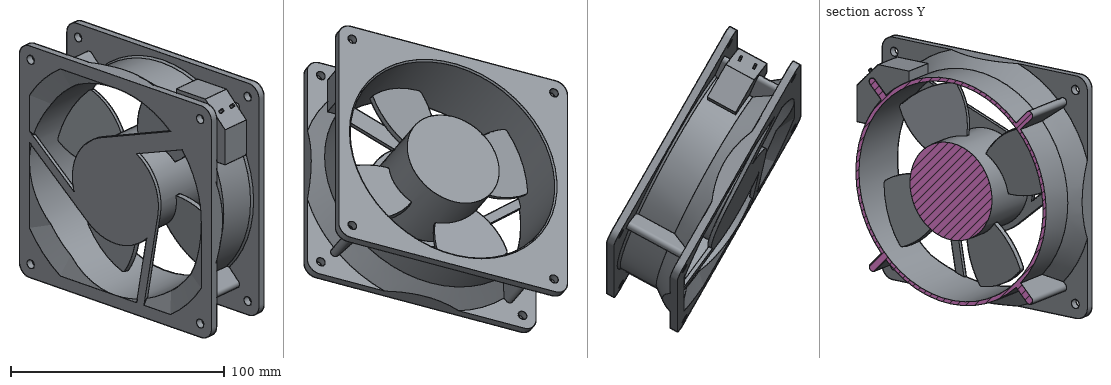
import cadquery as cq
import math

side = 119.0
depth = 38.0
flange_thickness = 3.8
corner_radius = 6.3
screw_hole_diameter = 4.4
screw_hole_offset = 52.5

bore_radius = 53.2
duct_wall = 2.1
duct_radius = bore_radius + duct_wall
intake_flare_depth = 13.7
exhaust_flare_depth = 1.2
flare_slope = 0.73
exhaust_start = depth - flange_thickness
exit_chamfer = 0.8
mouth_depth = 4.2
mouth_radius = 63.2
mouth_taper = math.degrees(math.atan((mouth_radius - bore_radius) / mouth_depth))

post_radius = 2.0
post_offset = 45.5

spider_radius = 26.7
spider_thickness = 1.9
first_spoke_angle = 20.0
wide_spoke = 9.3
narrow_spoke = 4.5
spoke_reach = 52.4

hub_radius = 23.9
blade_count = 4
first_blade_angle = 62.4
blade_pitch = 12.0
blade_thickness = 2.4
blade_face = 18.1
blade_tip_radius = 49.3
blade_root = 21.4
blade_root_half_width = 11.0
blade_middle = 35.7
blade_middle_half_width = 16.2
blade_shoulder = 46.5
blade_tip_half_width = 16.2
blade_corner_radius = 1.8

box_inner = 24.4
box_outer = 54.6
box_chamfer = 12.3
box_front = 15.5
box_back = 30.7
pin_positions = (19.0, 26.8)
pin_width = 1.4
pin_thickness = 1.0
pin_length = 2.1


def plane_at(y):
    """Plane across the fan axis; extruding from it goes toward +Y, and its y axis is -Z."""
    return cq.Workplane(cq.Plane(origin=(0, y, 0), xDir=(1, 0, 0), normal=(0, 1, 0)))


def cylinder(radius, start, end):
    return plane_at(start).circle(radius).extrude(end - start)


def cone(start_radius, start, end_radius, end):
    """Solid cone around the fan axis between two stations."""
    outline = [(0, start), (start_radius, start), (end_radius, end), (0, end)]
    return cq.Workplane("XY").polyline(outline).close().revolve(360, (0, 0, 0), (0, 1, 0))


def turned_about_axis(body, angle):
    """Turn a body around the fan axis; positive angles go from +X toward +Z."""
    return body.rotate((0, 0, 0), (0, 1, 0), -angle)


def flange(start):
    plate = plane_at(start).rect(side, side).extrude(flange_thickness)
    return plate.edges("|Y").fillet(corner_radius)


def duct_shell():
    """Outside of the duct: a cylinder flared toward both flanges and trimmed to the frame square."""
    intake_radius = duct_radius + flare_slope * intake_flare_depth
    exhaust_radius = duct_radius + flare_slope * exhaust_flare_depth
    exhaust_flare_start = exhaust_start - exhaust_flare_depth
    shell = (
        cylinder(duct_radius, 0, depth)
        .union(cone(intake_radius, 0, duct_radius, intake_flare_depth))
        .union(cone(duct_radius, exhaust_flare_start, exhaust_radius, exhaust_start))
    )
    envelope = plane_at(0).rect(side, side).extrude(depth)
    return shell.intersect(envelope)


def post_with_web(angle):
    """Round post on a frame diagonal, joined to the duct by a web as wide as the post."""
    reach = post_offset * math.sqrt(2)
    web = plane_at(0).center(reach / 2, 0).rect(reach, 2 * post_radius).extrude(depth)
    post = plane_at(0).center(reach, 0).circle(post_radius).extrude(depth)
    return turned_about_axis(web.union(post), angle)


def terminal_box():
    """Square block with its outer corner cut at 45 degrees and two pins on the cut face."""
    size = box_outer - box_inner
    center = (box_outer + box_inner) / 2
    box = (
        cq.Workplane("XY")
        .box(size, box_back - box_front, size)
        .translate((center, (box_front + box_back) / 2, center))
        .edges(">X and >Z")
        .chamfer(box_chamfer)
    )
    face_reach = (box_outer - box_chamfer / 2) * math.sqrt(2)
    for y in pin_positions:
        pin = (
            cq.Workplane("XY")
            .box(2 * pin_length, pin_thickness, pin_width)
            .translate((face_reach, y, 0))
        )
        box = box.union(turned_about_axis(pin, 45))
    return box


def air_passage():
    """Bore with a chamfered exit and a tapered mouth that leaves out the +X +Z quarter."""
    square = plane_at(0).rect(2 * bore_radius, 2 * bore_radius)
    mouth = cone(mouth_radius, 0, bore_radius, mouth_depth).intersect(
        square.extrude(mouth_depth, taper=mouth_taper)
    )
    closed_quarter = cq.Workplane("XY").box(side, side, side, centered=(False, True, False))
    return (
        cylinder(bore_radius, 0, depth)
        .union(mouth.cut(closed_quarter))
        .union(cone(bore_radius, depth - exit_chamfer, bore_radius + exit_chamfer, depth))
    )


def spoke(angle, width):
    """Bar from beside the disc center out into the frame, with one edge tangent to the disc."""
    bar = (
        plane_at(0)
        .center(spoke_reach / 2, width / 2 - spider_radius)
        .rect(spoke_reach, width)
        .extrude(spider_thickness)
    )
    return turned_about_axis(bar, angle)


def blade(angle):
    """Flat blade pitched about its radial center line."""
    outline = (
        plane_at(0)
        .moveTo(blade_root, blade_root_half_width)
        .threePointArc(
            (blade_middle, blade_middle_half_width), (blade_shoulder, blade_tip_half_width)
        )
        .threePointArc((blade_tip_radius, 0), (blade_shoulder, -blade_tip_half_width))
        .threePointArc(
            (blade_middle, -blade_middle_half_width), (blade_root, -blade_root_half_width)
        )
        .close()
    )
    body = outline.extrude(blade_thickness)
    body = body.edges("|Y").edges(">X").fillet(blade_corner_radius)
    body = body.rotate((0, 0, 0), (1, 0, 0), blade_pitch).translate((0, blade_face, 0))
    return turned_about_axis(body, angle)


frame = flange(0).union(flange(exhaust_start)).union(duct_shell())
for quarter in range(4):
    frame = frame.union(post_with_web(45 + 90 * quarter))
frame = frame.union(terminal_box())
frame = frame.cut(air_passage())
screw_holes = (
    plane_at(0)
    .rect(2 * screw_hole_offset, 2 * screw_hole_offset, forConstruction=True)
    .vertices()
    .circle(screw_hole_diameter / 2)
    .extrude(depth)
)
frame = frame.cut(screw_holes)

motor = cylinder(spider_radius, 0, spider_thickness)
motor = motor.union(cylinder(hub_radius, 0, depth))
for index, width in enumerate((wide_spoke, narrow_spoke, narrow_spoke)):
    motor = motor.union(spoke(first_spoke_angle + 120 * index, width))
for index in range(blade_count):
    motor = motor.union(blade(first_blade_angle + 360 / blade_count * index))

result = frame.union(motor)